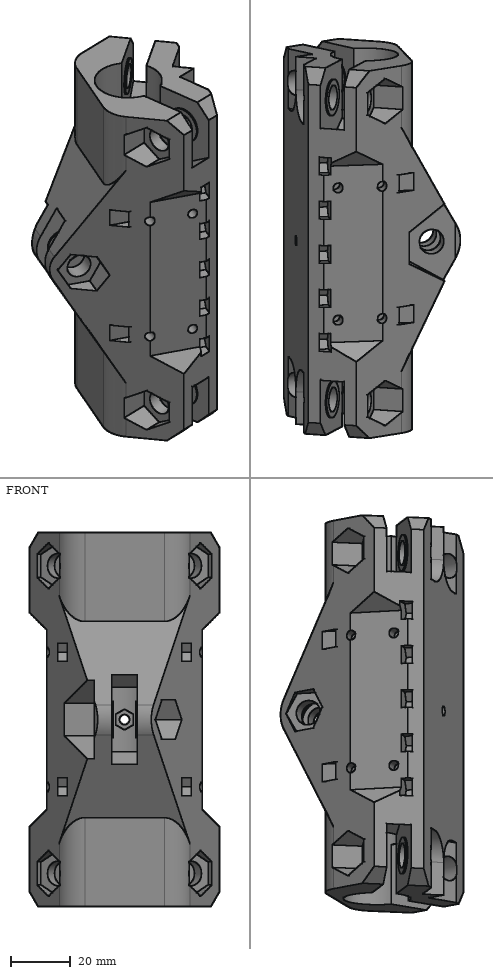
import cadquery as cq
import math


COS30 = math.cos(math.radians(30))
TAN60 = math.tan(math.radians(60))

length = 125.0
bore_radius = 11.2
face_distance = 23.2
corner_distance = 31.8
front_distance = 13.6
front_fillet = 10.0
end_chamfer = 5.0
reach = length

slit_outward = cq.Vector(COS30, 0.5, 0)
slit_across = cq.Vector(0.5, -COS30, 0)

bolt_diameter = 8.2
washer_diameter = 12.2
washer_height = 0.5
nut_flats = 13.2

pivot_y = -21.0
lug_radius = 10.0
fork_gap = 8.4
fork_window_height = 21.5
fork_flare_distance = 11.5
head_recess_x = -10.1
head_recess_distance = 9.4
pivot_nut_x = 10.0

slit_width = 8.4
slit_length = 19.6
clamp_bolt_offset = 20.8
clamp_bolt_z = 51.4
clamp_nut_floor = 8.4
clamp_head_floor = 12.9
head_slot_radius = 9.1

panel_x = 26.0
panel_height = 60.0
pin_diameter = 3.2
pin_depth = 6.2
pin_z = 22.5
pin_front_y = -1.4
pin_spacing = 15.0

notch_height = 6.0
side_notch_x = 20.8
side_notch_width = 3.2
side_notch_tip_y = -3.8
panel_notch_y = 18.0
panel_notch_width = 3.6
panel_notch_tip_x = 20.0
panel_notch_pitch = 15.0

screw_diameter = 3.2
screw_nut_flats = 6.0
screw_nut_depth = 2.5


def both_sides(shape):
    return shape.union(shape.mirror("YZ"))


def both_ends(shape):
    return shape.union(shape.mirror("XY"))


def across_corners(flats):
    return flats / COS30


def side_face_x(y):
    """X of the right side face at the given Y."""
    return (face_distance + y / 2) / COS30


def body_block():
    widest_y = corner_distance - face_distance
    widest_x = side_face_x(widest_y)
    rear_x = (corner_distance - face_distance / 2) / COS30
    front_x = side_face_x(-front_distance)
    outline = [
        (-front_x, -front_distance),
        (front_x, -front_distance),
        (widest_x, widest_y),
        (rear_x, face_distance),
        (-rear_x, face_distance),
        (-widest_x, widest_y),
    ]
    block = cq.Workplane("XY", origin=(0, 0, -length / 2)).polyline(outline).close().extrude(length)
    return block.edges("|Z and <Y").fillet(front_fillet)


def pivot_lug():
    """Ridge with a rounded tip and 60 degree flanks, trimmed by the two side faces."""
    tangent_y = pivot_y - lug_radius * COS30
    tangent_z = lug_radius / 2
    root_z = tangent_z - tangent_y * TAN60
    ridge = (
        cq.Workplane("YZ", origin=(-reach / 2, 0, 0))
        .moveTo(0, -root_z)
        .lineTo(tangent_y, -tangent_z)
        .threePointArc((pivot_y - lug_radius, 0), (tangent_y, tangent_z))
        .lineTo(0, root_z)
        .close()
        .extrude(reach)
    )
    root_x = side_face_x(0)
    wedge = (
        cq.Workplane("XY", origin=(0, 0, -length / 2))
        .polyline([(-root_x, 0), (root_x, 0), (0, -2 * face_distance)])
        .close()
        .extrude(length)
    )
    return ridge.intersect(wedge)


def slit_plane(along, across, z):
    """Workplane parallel to the right slit: local X points outward along it, local Y points up."""
    origin = slit_outward * along + slit_across * across + cq.Vector(0, 0, z)
    return cq.Workplane(cq.Plane(origin=origin, xDir=slit_outward, normal=slit_across))


def clamp_plane(across):
    """Slit plane centred on the upper right clamp bolt."""
    return slit_plane(clamp_bolt_offset, across, clamp_bolt_z)


def end_chamfer_cut():
    """Bevel between the upper end and the right rear corner face."""
    outline = [(-end_chamfer, 0), (0, 0), (0, -end_chamfer)]
    edge_plane = slit_plane(corner_distance, 0, length / 2)
    return edge_plane.polyline(outline).close().extrude(reach / 2, both=True)


def clamp_cut():
    """Upper right clamp: bolt hole, nut pocket, open bolt head slot, and a slit with a V-shaped floor."""
    half_gap = slit_width / 2
    corner_x = corner_distance - clamp_bolt_offset
    corner_z = length / 2 - slit_length - clamp_bolt_z
    valley_z = corner_z - corner_x / TAN60
    bore_axis_z = valley_z + clamp_bolt_offset / TAN60
    outline = [
        (-clamp_bolt_offset, reach),
        (-clamp_bolt_offset, bore_axis_z),
        (0, valley_z),
        (corner_x, corner_z),
        (corner_x, reach),
    ]
    slit = clamp_plane(-half_gap).polyline(outline).close().extrude(slit_width)
    for side in (-1, 1):
        washer = clamp_plane(side * half_gap).circle(washer_diameter / 2).extrude(-side * washer_height)
        slit = slit.cut(washer)
    bolt_hole = clamp_plane(0).circle(bolt_diameter / 2).extrude(reach / 2, both=True)
    nut_pocket = (
        clamp_plane(clamp_nut_floor)
        .transformed(rotate=(0, 0, 90))
        .polygon(6, across_corners(nut_flats))
        .extrude(reach)
    )
    head_slot = (
        clamp_plane(-clamp_head_floor)
        .moveTo(-head_slot_radius, reach)
        .lineTo(-head_slot_radius, 0)
        .radiusArc((0, -head_slot_radius), -head_slot_radius)
        .lineTo(reach, -head_slot_radius)
        .lineTo(reach, reach)
        .close()
        .extrude(-reach)
    )
    return slit.union(bolt_hole).union(nut_pocket).union(head_slot)


def flared_recess(x, depth, wall_distance, floor_height):
    """Recess along X, open to the front: flat floor and end walls that flare at 30 degrees to Y."""
    half_floor = floor_height / 2
    floor_y = pivot_y + 2 * (wall_distance - COS30 * half_floor)
    mouth_y = pivot_y - 2 * lug_radius
    half_mouth = half_floor + (floor_y - mouth_y) / TAN60
    outline = [(floor_y, -half_floor), (floor_y, half_floor), (mouth_y, half_mouth), (mouth_y, -half_mouth)]
    return cq.Workplane("YZ", origin=(x, 0, 0)).polyline(outline).close().extrude(depth)


def fork_cut():
    """Gap between the two fork arms, open into the bore, with washer faces left on the arms."""
    half_gap = fork_gap / 2
    gap = flared_recess(-half_gap, fork_gap, fork_flare_distance, fork_window_height)
    window = cq.Workplane("XY").box(fork_gap, -pivot_y, fork_window_height).translate((0, pivot_y / 2, 0))
    washer = (
        cq.Workplane("YZ", origin=(half_gap - washer_height, pivot_y, 0))
        .circle(washer_diameter / 2)
        .extrude(washer_height)
    )
    return gap.union(window).cut(both_sides(washer))


def pivot_bolt_cut():
    """Bolt hole along X, with a head recess on the left and a nut pocket on the right."""
    hole = cq.Workplane("YZ", origin=(0, pivot_y, 0)).circle(bolt_diameter / 2).extrude(reach, both=True)
    nut_pocket = (
        cq.Workplane("YZ", origin=(pivot_nut_x, pivot_y, 0))
        .polygon(6, across_corners(nut_flats))
        .extrude(reach)
    )
    hexagon_side = across_corners(head_recess_distance)
    recess = flared_recess(head_recess_x, -reach, head_recess_distance, hexagon_side)
    return hole.union(nut_pocket).union(recess)


def panel_cut():
    """Flat panel on the right rear corner with 45 degree ends, and its four pin holes."""
    half = panel_height / 2
    depth = face_distance
    panel = (
        cq.Workplane("XZ", origin=(panel_x, reach / 2, 0))
        .polyline([(0, -half), (0, half), (depth, half + depth), (depth, -half - depth)])
        .close()
        .extrude(reach)
    )
    pins = [(y, z) for y in (pin_front_y, pin_front_y + pin_spacing) for z in (-pin_z, pin_z)]
    holes = (
        cq.Workplane("YZ", origin=(panel_x - pin_depth, 0, 0))
        .pushPoints(pins)
        .circle(pin_diameter / 2)
        .extrude(reach)
    )
    return panel.union(holes)


def roofed_outline(plane, tip, mouth):
    """Notch outline around local X, pointed at the tip and open at the mouth."""
    half = notch_height / 2
    shoulder = tip + math.copysign(half / TAN60, mouth - tip)
    outline = [(tip, 0), (shoulder, half), (mouth, half), (mouth, -half), (shoulder, -half)]
    return plane.polyline(outline).close()


def notch_cut():
    """Notches on the right half: two in the side face and five behind the panel."""
    side_plane = cq.Workplane("YZ", origin=(side_notch_x, 0, 0))
    side_outline = roofed_outline(side_plane, side_notch_tip_y, -reach)
    side_notch = side_outline.extrude(side_notch_width / 2, both=True)
    panel_plane = cq.Workplane("XZ", origin=(0, panel_notch_y, 0))
    panel_outline = roofed_outline(panel_plane, panel_notch_tip_x, reach)
    panel_notch = panel_outline.extrude(panel_notch_width / 2, both=True)
    cuts = both_ends(side_notch.translate((0, 0, pin_z)))
    for step in range(-2, 3):
        cuts = cuts.union(panel_notch.translate((0, 0, step * panel_notch_pitch)))
    return cuts


def set_screw_cut():
    """Screw hole through the rear wall with a nut pocket sunk into the bore."""
    hole = cq.Workplane("XZ").circle(screw_diameter / 2).extrude(-reach)
    nut_pocket = (
        cq.Workplane("XZ")
        .transformed(rotate=(0, 0, 90))
        .polygon(6, across_corners(screw_nut_flats))
        .extrude(-bore_radius - screw_nut_depth)
    )
    return hole.union(nut_pocket)


bore = cq.Workplane("XY").circle(bore_radius).extrude(reach, both=True)

result = (
    body_block()
    .union(pivot_lug())
    .cut(bore)
    .cut(both_ends(both_sides(end_chamfer_cut())))
    .cut(both_ends(both_sides(clamp_cut())))
    .cut(both_sides(panel_cut()))
    .cut(both_sides(notch_cut()))
    .cut(fork_cut())
    .cut(pivot_bolt_cut())
    .cut(set_screw_cut())
)